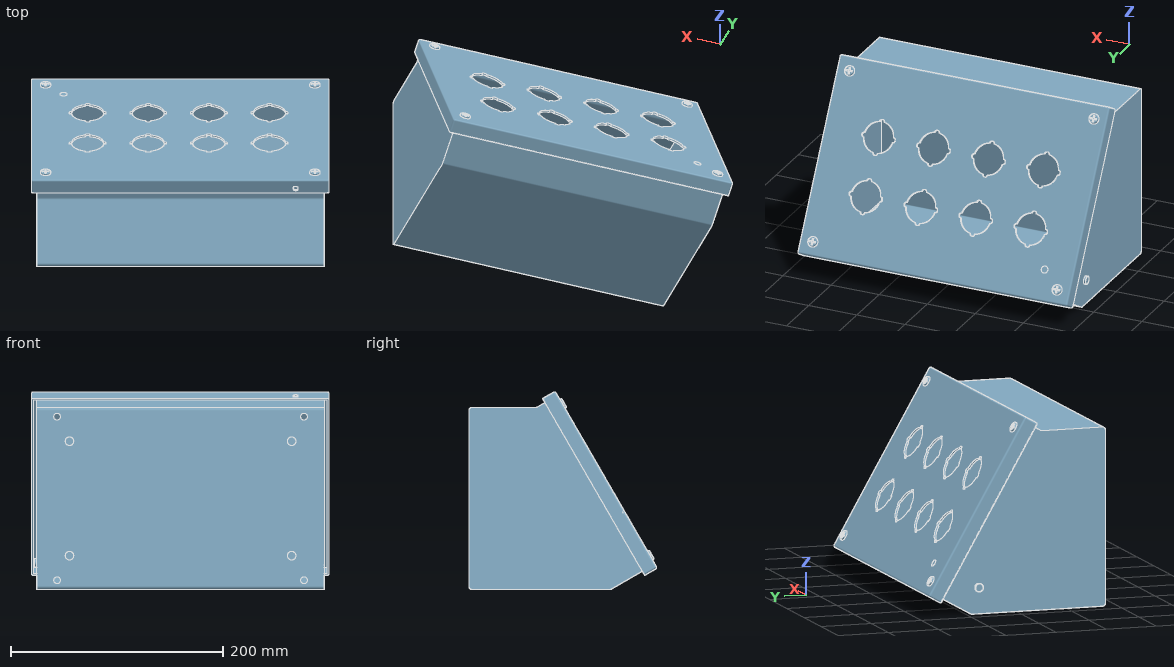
import cadquery as cq
import math


SHEET = 1.9
BEND_RADIUS = 3.05
KNEE_RADIUS = 3.5
COVER_CORNER_RADIUS = SHEET

HOUSING_WIDTH = 271.5
HOUSING_CENTRE_X = 0.3
HOUSING_HEIGHT = 172.0

COVER_SLOPE = 60.0
COVER_WIDTH = 280.99
COVER_LENGTH = 192.8
COVER_DEPTH = 13.9
COVER_TOP_Z = 186.56
FLANGE_CLEARANCE = 2.55
COVER_FRONT_Y = 177.23

SLOPE = math.radians(COVER_SLOPE)
CORNER_LOSS = COVER_CORNER_RADIUS * (math.sin(SLOPE) + math.cos(SLOPE) - 1)
COVER_CENTRE_Y = COVER_FRONT_Y + CORNER_LOSS - COVER_LENGTH / 2 * math.cos(SLOPE)
COVER_CENTRE_Z = COVER_TOP_Z + CORNER_LOSS - COVER_LENGTH / 2 * math.sin(SLOPE)

MOUNT_HOLE_DIAMETER = 6.35
MOUNT_HOLE_SPACING = (232.9, 154.3)
WELD_MARK_DIAMETER = 8.06
WELD_MARK_SPACING = (209.55, 107.95)
WELD_MARK_DEPTH = 0.1

GROUND_STUD_DIAMETER = 8.06
GROUND_STUD_HEIGHT = 2.2
GROUND_STUD_EDGE = 0.2
GROUND_STUD_Y = 126.4
GROUND_STUD_Z = 25.4

BUTTON_DIAMETER = 30.5
NOTCH_DIAMETER = 4.76
NOTCH_REACH = 17.4
NOTCH_COUNT = 4
BUTTON_COLUMNS = 4
BUTTON_ROWS = 2
BUTTON_PITCH = 57.15
BUTTON_CENTRE_X = -1.6
BUTTON_CENTRE_UP = -2.4

COVER_MARK_DIAMETER = 6.76
COVER_MARK_X = -110.0
COVER_MARK_UP = -66.0
FLANGE_HOLE_DIAMETER = 4.76
FLANGE_HOLE_X = 108.9
FLANGE_HOLE_DEPTH = 9.1

SCREW_SPACING = (254.0, 165.1)
SCREW_HEAD_DIAMETER = 9.9
SCREW_HEAD_HEIGHT = 1.8
SCREW_HEAD_ROUND = 1.0
SCREW_RECESS_SPAN = 6.0
SCREW_RECESS_WIDTH = 1.2
SCREW_RECESS_DEPTH = 0.8

OUTERMOST = cq.selectors.DirectionMinMaxSelector(cq.Vector(0, math.sin(SLOPE), math.cos(SLOPE)))


def cover_plane(depth=0.0):
    """Plane on the cover: x along X, y up the slope, z into the housing."""
    inward = (0, -math.sin(SLOPE), -math.cos(SLOPE))
    origin = (0, COVER_CENTRE_Y + depth * inward[1], COVER_CENTRE_Z + depth * inward[2])
    return cq.Workplane(cq.Plane(origin=origin, xDir=(1, 0, 0), normal=inward))


def slope_point(up, depth):
    """(Y, Z) of a point given by its distance up the slope and its depth below the cover face."""
    y = COVER_CENTRE_Y - up * math.cos(SLOPE) - depth * math.sin(SLOPE)
    z = COVER_CENTRE_Z + up * math.sin(SLOPE) - depth * math.cos(SLOPE)
    return y, z


def drop_to(point, z):
    """Point where the wall square to the cover, starting at point, reaches height z."""
    return point[0] - (point[1] - z) * math.tan(SLOPE), z


def rect_at(workplane, spacing):
    """The four corners of a centred rectangle, as places for holes."""
    return workplane.rect(spacing[0], spacing[1], forConstruction=True).vertices()


def make_housing():
    """Bent and welded box, open toward the cover."""
    half_opening = COVER_LENGTH / 2 - SHEET - FLANGE_CLEARANCE
    lip_top = slope_point(half_opening, SHEET)
    lip_bottom = slope_point(-half_opening, SHEET)
    knee_top = drop_to(lip_top, HOUSING_HEIGHT)
    knee_bottom = drop_to(lip_bottom, 0)
    profile = [(0, 0), knee_bottom, lip_bottom, lip_top, knee_top, (0, HOUSING_HEIGHT)]
    middle = cq.Workplane("YZ", origin=(HOUSING_CENTRE_X, 0, 0))
    body = middle.polyline(profile).close().extrude(HOUSING_WIDTH / 2, both=True)
    body = body.faces("<Y").edges("|X").fillet(BEND_RADIUS)
    for y, z in (knee_bottom, knee_top):
        knee = cq.selectors.NearestToPointSelector((HOUSING_CENTRE_X, y, z))
        body = body.edges(knee).fillet(KNEE_RADIUS)
    body = body.faces(OUTERMOST).shell(-SHEET)

    back = cq.Workplane("XZ", origin=(HOUSING_CENTRE_X, 0, HOUSING_HEIGHT / 2))
    holes = rect_at(back, MOUNT_HOLE_SPACING).circle(MOUNT_HOLE_DIAMETER / 2).extrude(-SHEET)
    marks = rect_at(back, WELD_MARK_SPACING).circle(WELD_MARK_DIAMETER / 2).extrude(-WELD_MARK_DEPTH)
    return body.cut(holes).cut(marks)


def button_hole():
    """Cutter for one push-button hole, centred on the origin of the cover plane."""
    cutter = cover_plane().circle(BUTTON_DIAMETER / 2).extrude(SHEET)
    notches = (
        cover_plane()
        .polarArray(NOTCH_REACH - NOTCH_DIAMETER / 2, 0, 360, NOTCH_COUNT)
        .circle(NOTCH_DIAMETER / 2)
        .extrude(SHEET)
    )
    return cutter.union(notches)


def screw_head():
    """Rounded head with a cross recess, centred on the origin of the cover plane."""
    head = cover_plane().circle(SCREW_HEAD_DIAMETER / 2).extrude(-SCREW_HEAD_HEIGHT)
    head = head.faces(OUTERMOST).edges().fillet(SCREW_HEAD_ROUND)
    for size in ((SCREW_RECESS_SPAN, SCREW_RECESS_WIDTH), (SCREW_RECESS_WIDTH, SCREW_RECESS_SPAN)):
        arm = cover_plane(-SCREW_HEAD_HEIGHT).rect(*size).extrude(SCREW_RECESS_DEPTH)
        head = head.cut(arm)
    return head


def cut_button_holes(cover):
    first_column = -(BUTTON_COLUMNS - 1) / 2
    first_row = -(BUTTON_ROWS - 1) / 2
    cutter = button_hole()
    for column in range(BUTTON_COLUMNS):
        for row in range(BUTTON_ROWS):
            up = BUTTON_CENTRE_UP + (first_row + row) * BUTTON_PITCH
            shift_y, shift_z = -up * math.cos(SLOPE), up * math.sin(SLOPE)
            shift_x = BUTTON_CENTRE_X + (first_column + column) * BUTTON_PITCH
            cover = cover.cut(cutter.translate((shift_x, shift_y, shift_z)))
    return cover


def cut_flange_hole(cover):
    hole_y, hole_z = slope_point(COVER_LENGTH / 2, FLANGE_HOLE_DEPTH)
    up_slope = (0, -math.cos(SLOPE), math.sin(SLOPE))
    flange_plane = cq.Plane(origin=(FLANGE_HOLE_X, hole_y, hole_z), xDir=(1, 0, 0), normal=up_slope)
    flange_hole = cq.Workplane(flange_plane).circle(FLANGE_HOLE_DIAMETER / 2).extrude(-SHEET)
    return cover.cut(flange_hole)


def add_screw_heads(cover):
    head = screw_head()
    for side in (-1, 1):
        for end in (-1, 1):
            up = end * SCREW_SPACING[1] / 2
            place = (side * SCREW_SPACING[0] / 2, -up * math.cos(SLOPE), up * math.sin(SLOPE))
            cover = cover.union(head.translate(place))
    return cover


def make_cover():
    """Shallow tray over the open side of the housing, with its screw heads."""
    cover = cover_plane().rect(COVER_WIDTH, COVER_LENGTH).extrude(COVER_DEPTH + COVER_CORNER_RADIUS)
    cover = cover.edges().fillet(COVER_CORNER_RADIUS)
    cavity_size = (COVER_WIDTH - 2 * SHEET, COVER_LENGTH - 2 * SHEET)
    cavity = cover_plane(SHEET).rect(*cavity_size).extrude(COVER_DEPTH)
    beyond_rim = cover_plane(COVER_DEPTH).rect(COVER_WIDTH, COVER_LENGTH).extrude(COVER_DEPTH)
    cover = cover.cut(cavity).cut(beyond_rim)

    mark_place = cover_plane().center(COVER_MARK_X, COVER_MARK_UP)
    weld_mark = mark_place.circle(COVER_MARK_DIAMETER / 2).extrude(WELD_MARK_DEPTH)
    cover = cover.cut(weld_mark)
    cover = cut_button_holes(cover)
    cover = cut_flange_hole(cover)
    return add_screw_heads(cover)


def make_ground_stud():
    """Short round stud standing on the outside of the -X wall."""
    wall_x = HOUSING_CENTRE_X - HOUSING_WIDTH / 2
    wall = cq.Workplane("YZ", origin=(wall_x, GROUND_STUD_Y, GROUND_STUD_Z))
    stud = wall.circle(GROUND_STUD_DIAMETER / 2).extrude(-GROUND_STUD_HEIGHT)
    return stud.faces("<X").edges().chamfer(GROUND_STUD_EDGE)


housing = make_housing()
cover = make_cover()
ground_stud = make_ground_stud()
result = cq.Compound.makeCompound([housing.val(), cover.val(), ground_stud.val()])